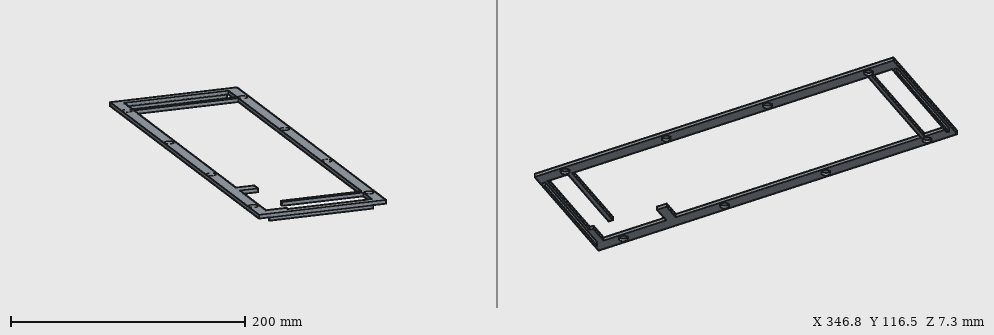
import cadquery as cq

length = 346.8
width = 116.5
total_height = 7.3
plate_thickness = 3.5
long_rail_width = 10.5
left_rail_width = 6.5
right_rail_width = 7.0

lip_height = total_height - plate_thickness
lip_thickness = 2.0
lip_inset = 2.5
lip_length = 95.0

cross_bar_left = -147.0
cross_bar_width = 3.5
stub_bar_left = 142.5
stub_bar_width = 4.0
stub_bar_length = 74.2
tab_left = 93.3
tab_width = 9.5
tab_length = 16.5
corner_pad_width = 3.5
corner_pad_length = 18.7

pocket_diameter = 8.0
pocket_skin = 0.7
pocket_depth = plate_thickness - pocket_skin
pocket_pitch = 97.8
pockets_per_rail = 4

opening_left = -length / 2 + left_rail_width
opening_right = length / 2 - right_rail_width
opening_back = width / 2 - long_rail_width
opening_front = -opening_back
opening_width = opening_back - opening_front


def block(left, front, size_x, size_y, bottom=0.0, height=plate_thickness):
    """Rectangular block placed by its left, front, bottom corner."""
    return cq.Workplane("XY").box(size_x, size_y, height, centered=False).translate((left, front, bottom))


def make_frame():
    plate = block(-length / 2, -width / 2, length, width)
    opening = block(opening_left, opening_front, opening_right - opening_left, opening_width)
    return plate.cut(opening)


def add_inner_bars(body):
    cross_bar = block(cross_bar_left, opening_front, cross_bar_width, opening_width)
    stub_bar = block(stub_bar_left, opening_back - stub_bar_length, stub_bar_width, stub_bar_length)
    tab = block(tab_left, opening_front, tab_width, tab_length)
    corner_pad = block(opening_right - corner_pad_width, opening_front, corner_pad_width, corner_pad_length)
    return body.union(cross_bar).union(stub_bar).union(tab).union(corner_pad)


def add_lips(body):
    left_lip = -length / 2 + lip_inset
    right_lip = length / 2 - lip_inset - lip_thickness
    for lip_left in (left_lip, right_lip):
        lip = block(lip_left, -lip_length / 2, lip_thickness, lip_length, -lip_height, lip_height)
        body = body.union(lip)
    return body


def cut_pockets(body):
    row_spacing = width - long_rail_width
    pockets = (
        cq.Workplane("XY")
        .rarray(pocket_pitch, row_spacing, pockets_per_rail, 2)
        .circle(pocket_diameter / 2)
        .extrude(pocket_depth)
    )
    return body.cut(pockets)


result = cut_pockets(add_lips(add_inner_bars(make_frame())))